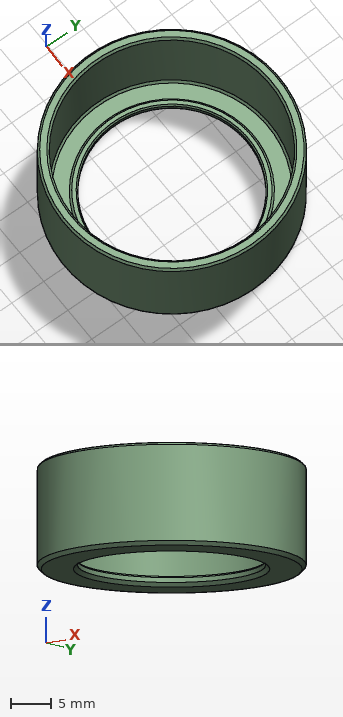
import cadquery as cq

outer_radius = 16.8
height = 13.0
cup_radius = 30.6 / 2
bore_radius = 23.5 / 2

floor_height = 1.0
lip_height = 1.3
lip_top_radius = 25.0 / 2

edge_chamfer = 0.3
base_chamfer = 0.5
bore_chamfer = 0.2

lip_base_radius = lip_top_radius + (lip_height - floor_height)

half_section = [
    (bore_radius + base_chamfer, 0),
    (outer_radius - base_chamfer, 0),
    (outer_radius, base_chamfer),
    (outer_radius, height - edge_chamfer),
    (outer_radius - edge_chamfer, height),
    (cup_radius + edge_chamfer, height),
    (cup_radius, height - edge_chamfer),
    (cup_radius, floor_height + edge_chamfer),
    (cup_radius - edge_chamfer, floor_height),
    (lip_base_radius, floor_height),
    (lip_top_radius, lip_height),
    (bore_radius + bore_chamfer, lip_height),
    (bore_radius, lip_height - bore_chamfer),
    (bore_radius, base_chamfer),
]

result = (
    cq.Workplane("XZ")
    .polyline(half_section)
    .close()
    .revolve(360, (0, 0, 0), (0, 1, 0))
)